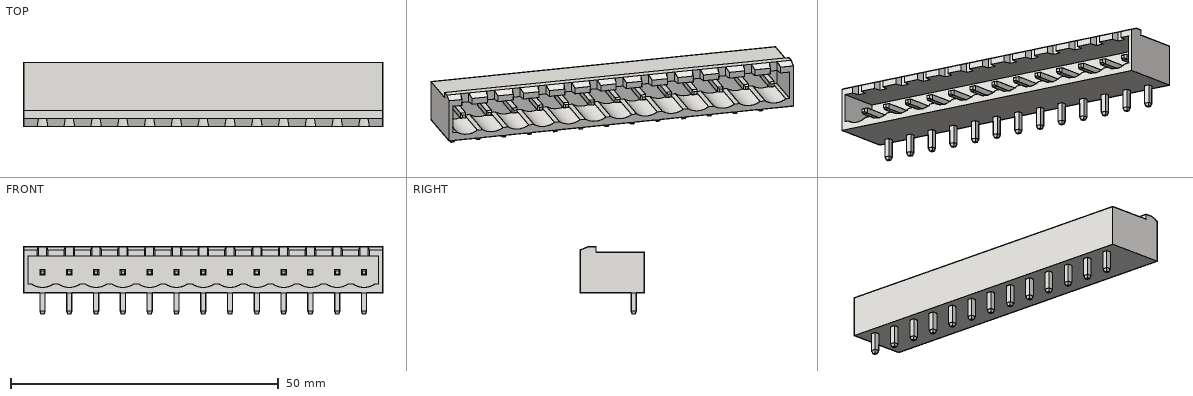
import cadquery as cq

contact_count = 13
pitch = 5.0
pin_size = 1.0
pin_tip_size = 0.6
pin_taper_length = 0.6
tail_length = 4.0
tail_setback = 2.0
blade_height = 3.8
blade_recess = 2.0

end_margin = 3.5
housing_length = (contact_count - 1) * pitch + 2 * end_margin
housing_depth = 12.0
housing_height = 7.6

rim_height = 1.0
rim_depth = 3.0
rim_bevel_depth = 1.5
rim_bevel_drop = 0.6
rim_top = housing_height + rim_height

notch_front_width = 2.0
notch_rear_width = 1.5
notch_depth = rim_bevel_depth

wall_thickness = 0.75
cavity_depth = 8.5
cavity_top = housing_height - wall_thickness
cavity_floor = 1.6
cavity_length = housing_length - 2 * wall_thickness
scallop_width = 4.0
scallop_drop = 0.6

first_contact_x = -(contact_count - 1) * pitch / 2
contact_xs = [first_contact_x + i * pitch for i in range(contact_count)]


def make_housing():
    """Side profile with the raised, bevelled rim, extruded along X."""
    profile = (
        cq.Workplane("YZ")
        .moveTo(0, 0)
        .lineTo(housing_depth, 0)
        .lineTo(housing_depth, housing_height)
        .lineTo(rim_depth, housing_height)
        .lineTo(rim_depth, rim_top)
        .lineTo(rim_bevel_depth, rim_top)
        .lineTo(0, rim_top - rim_bevel_drop)
        .close()
    )
    return profile.extrude(housing_length / 2, both=True)


def make_cavity():
    """Front-opening cavity whose floor has a shallow round trough under each contact."""
    half_length = cavity_length / 2
    outline = cq.Workplane("XZ").moveTo(-half_length, cavity_top).lineTo(-half_length, cavity_floor)
    for x in contact_xs:
        outline = outline.lineTo(x - scallop_width / 2, cavity_floor).threePointArc(
            (x, cavity_floor - scallop_drop), (x + scallop_width / 2, cavity_floor)
        )
    outline = outline.lineTo(half_length, cavity_floor).lineTo(half_length, cavity_top).close()
    return outline.extrude(-cavity_depth)


def make_notch(x):
    """Keying notch through the rim into the cavity, narrowing towards the rear."""
    corners = [
        (x - notch_front_width / 2, 0),
        (x + notch_front_width / 2, 0),
        (x + notch_rear_width / 2, notch_depth),
        (x - notch_rear_width / 2, notch_depth),
    ]
    outline = cq.Workplane("XY").workplane(offset=cavity_top).polyline(corners).close()
    return outline.extrude(rim_top - cavity_top)


def make_bar(plane, length):
    """Square bar from the plane origin along its normal, tapered at the far end."""
    shank_length = length - pin_taper_length
    shank = cq.Workplane(plane).rect(pin_size, pin_size).extrude(shank_length)
    tip = (
        cq.Workplane(plane)
        .workplane(offset=shank_length)
        .rect(pin_size, pin_size)
        .workplane(offset=pin_taper_length)
        .rect(pin_tip_size, pin_tip_size)
        .loft(ruled=True)
    )
    return shank.union(tip)


def make_contact(x):
    """Right-angle contact: a blade towards the mating face and a tail pointing down."""
    bend = (x, housing_depth - tail_setback, blade_height)
    blade_plane = cq.Plane(origin=bend, xDir=(1, 0, 0), normal=(0, -1, 0))
    tail_plane = cq.Plane(origin=bend, xDir=(1, 0, 0), normal=(0, 0, -1))
    blade = make_bar(blade_plane, housing_depth - tail_setback - blade_recess)
    tail = make_bar(tail_plane, blade_height + tail_length)
    return blade.union(tail)


result = make_housing().cut(make_cavity())
for contact_x in contact_xs:
    result = result.cut(make_notch(contact_x))
for contact_x in contact_xs:
    result = result.union(make_contact(contact_x))